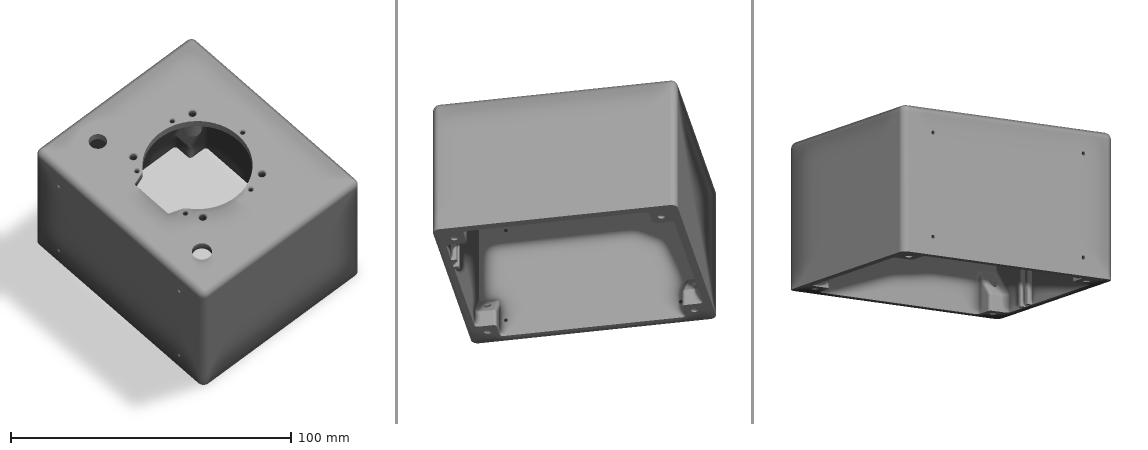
import cadquery as cq
import math

length = 88.9
width = 76.2
height = 54.0
wall = 3.0
outer_round = 2.5
inner_x = length / 2 - wall
inner_y = width / 2 - wall
ceiling = height - wall

opening_radius = 19.65
notch_end_y = -22.3
notch_end_half_width = 8.9
notch_taper = 19.0
notch_blend = 3.6
notch_corner_round = 0.45

boss_pitch_x = 36.6
boss_pitch_y = 28.6
boss_diameter = 6.6
boss_drop = 6.6
boss_hole_diameter = 2.7
boss_centers = [
    (side_x * boss_pitch_x / 2, side_y * boss_pitch_y / 2) for side_x in (-1, 1) for side_y in (-1, 1)
]

ring_radius = 21.8
ring_hole_count = 5
ring_first_angle = 90
ring_hole_diameter = 1.7
ring_angles = [math.radians(ring_first_angle + 360 / ring_hole_count * i) for i in range(ring_hole_count)]
ring_centers = [(ring_radius * math.cos(a), ring_radius * math.sin(a)) for a in ring_angles]

lid_screw_chamfer = 0.4

switch_center = (-31.8, -19.0)
switch_diameter = 6.6
lamp_center = (29.4, -24.9)
lamp_diameter = 7.2

front_pitch_x = 63.5
front_pitch_z = 38.05
front_lowest_z = 6.7
front_hole_diameter = 1.4

post_size = 7.7
post_inner_height = 6.4
post_wall_height = 15.8
post_round = 1.25
post_hole_diameter = 2.6

guide_center_y = boss_pitch_y / 2
guide_gap = 2.9
guide_width = 1.6
guide_depth = 2.0

overlap = wall / 2
margin = 0.1


def tray():
    body = cq.Workplane("XY").box(length, width, height, centered=(True, True, False))
    body = body.edges("|Z or >Z").fillet(outer_round)
    cavity = cq.Workplane("XY").box(2 * inner_x, 2 * inner_y, ceiling, centered=(True, True, False))
    return body.cut(cavity)


def corner_post():
    """Post in the +X +Y corner; its sloped top rises toward the +Y wall."""
    profile = [
        (inner_y + overlap, 0),
        (inner_y - post_size, 0),
        (inner_y - post_size, post_inner_height),
        (inner_y, post_wall_height),
        (inner_y + overlap, post_wall_height),
    ]
    start = cq.Workplane("YZ").workplane(offset=inner_x - post_size)
    return start.polyline(profile).close().extrude(post_size + overlap)


def corner_region(side_x, side_y):
    """Selects the post edges in one corner, leaving out those on the open bottom."""
    far_corner = (side_x * (inner_x + margin), side_y * (inner_y + margin), post_wall_height + margin)
    near_corner = (
        side_x * (inner_x - post_size - margin),
        side_y * (inner_y - post_size - margin),
        margin,
    )
    return cq.selectors.BoxSelector(near_corner, far_corner)


def add_corner_posts(body):
    right_back = corner_post()
    right_pair = right_back.union(right_back.mirror("XZ"))
    body = body.union(right_pair).union(right_pair.mirror("YZ"))
    for side_x in (-1, 1):
        for side_y in (-1, 1):
            body = body.edges(corner_region(side_x, side_y)).fillet(post_round)
    hole_pitch_x = 2 * inner_x - post_size
    hole_pitch_y = 2 * inner_y - post_size
    holes = (
        cq.Workplane("XY")
        .rect(hole_pitch_x, hole_pitch_y, forConstruction=True)
        .vertices()
        .circle(post_hole_diameter / 2)
        .extrude(post_wall_height)
    )
    return body.cut(holes)


def guide_ribs():
    spacing = guide_gap + guide_width
    return (
        cq.Workplane("XY")
        .center(inner_x - guide_depth / 2 + overlap / 2, guide_center_y)
        .rarray(0.9, spacing, 1, 2)
        .rect(guide_depth + overlap, guide_width)
        .extrude(ceiling + overlap)
    )


def bosses():
    bottom = cq.Workplane("XY").workplane(offset=ceiling - boss_drop)
    return bottom.pushPoints(boss_centers).circle(boss_diameter / 2).extrude(boss_drop + overlap)


def opening_cutter():
    taper = math.tan(math.radians(notch_taper))
    notch_start_half_width = notch_end_half_width - notch_end_y * taper
    notch = (
        cq.Workplane("XY")
        .polyline(
            [
                (-notch_end_half_width, notch_end_y),
                (notch_end_half_width, notch_end_y),
                (notch_start_half_width, 0),
                (-notch_start_half_width, 0),
            ]
        )
        .close()
        .extrude(height)
        .edges("|Z and <Y")
        .fillet(notch_corner_round)
    )
    cutter = cq.Workplane("XY").circle(opening_radius).extrude(height).union(notch)
    junctions = cq.selectors.BoxSelector(
        (-opening_radius, notch_end_y + 2 * notch_corner_round, 0),
        (opening_radius, -margin, height),
    )
    return cutter.edges("|Z").edges(junctions).fillet(notch_blend)


def lid_screw_holes(centers, diameter):
    """Straight holes through the lid and any boss below it, chamfered at the top face."""
    radius = diameter / 2
    hole = (
        cq.Workplane("XZ")
        .polyline(
            [
                (0, ceiling - boss_drop),
                (radius, ceiling - boss_drop),
                (radius, height - lid_screw_chamfer),
                (radius + lid_screw_chamfer, height),
                (0, height),
            ]
        )
        .close()
        .revolve(360, (0, 0), (0, 1))
        .val()
    )
    return cq.Workplane("XY").pushPoints(centers).eachpoint(lambda place: hole.moved(place), combine=False)


def lid_hole(center, diameter):
    return cq.Workplane("XY").workplane(offset=ceiling).center(*center).circle(diameter / 2).extrude(wall)


def front_holes():
    middle_z = front_lowest_z + front_pitch_z / 2
    return (
        cq.Workplane("XZ", origin=(0, -inner_y, middle_z))
        .rect(front_pitch_x, front_pitch_z, forConstruction=True)
        .vertices()
        .circle(front_hole_diameter / 2)
        .extrude(wall)
    )


body = add_corner_posts(tray())
body = body.union(bosses()).union(guide_ribs())
body = body.cut(opening_cutter())
body = body.cut(lid_screw_holes(boss_centers, boss_hole_diameter))
body = body.cut(lid_screw_holes(ring_centers, ring_hole_diameter))
body = body.cut(lid_hole(switch_center, switch_diameter))
body = body.cut(lid_hole(lamp_center, lamp_diameter))
result = body.cut(front_holes())